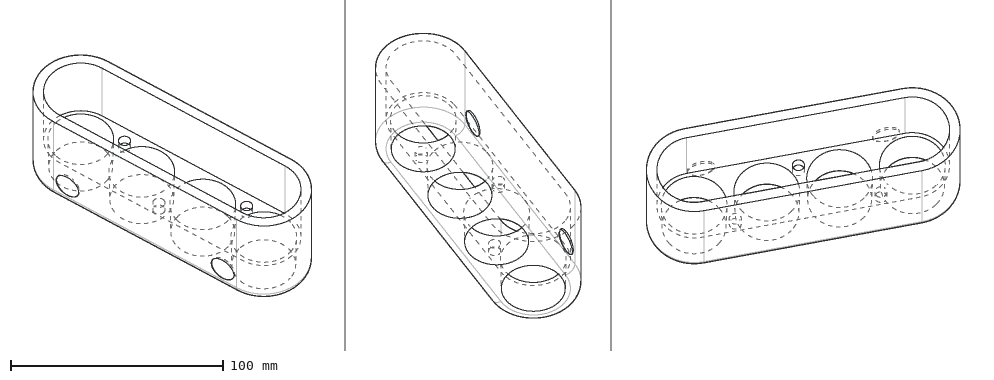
import cadquery as cq

length = 150.0
width = 45.0
height = 55.0
wall = 5.0
floor_thickness = 20.0
bottom_fillet = 5.0

hole_count = 4
hole_pitch = 35.0
hole_bottom_diameter = 30.13
hole_top_diameter = 31.04

pin_diameter = 5.7
pin_depth = 5.0
pin_offset = 11.0

recess_diameter = 13.0
recess_depth = 0.55
recess_tilt = 4.0
recess_spacing = 89.0
recess_height = 13.0


def make_shell():
    """Rounded-end tub with a filleted bottom edge and an even wall."""
    body = cq.Workplane("XY").slot2D(length, width).extrude(height)
    body = body.faces("<Z").edges().fillet(bottom_fillet)
    cavity = (
        cq.Workplane("XY", origin=(0, 0, floor_thickness))
        .slot2D(length - 2 * wall, width - 2 * wall)
        .extrude(height - floor_thickness)
    )
    return body.cut(cavity)


def make_floor_hole(x):
    """Cutter for a through hole that widens evenly from the underside to the floor's upper face."""
    profile = [
        (0, 0),
        (hole_bottom_diameter / 2, 0),
        (hole_top_diameter / 2, floor_thickness),
        (0, floor_thickness),
    ]
    cutter = cq.Workplane("XZ").polyline(profile).close().revolve(360, (0, 0, 0), (0, 1, 0))
    return cutter.translate((x, 0, 0))


def make_pin_holes():
    """Blind holes midway between large holes, alternating sides in Y."""
    middle = (hole_count - 2) / 2
    points = [
        ((index - middle) * hole_pitch, pin_offset * (-1) ** index)
        for index in range(hole_count - 1)
    ]
    return (
        cq.Workplane("XY", origin=(0, 0, floor_thickness))
        .pushPoints(points)
        .circle(pin_diameter / 2)
        .extrude(-pin_depth)
    )


def make_side_recess(x):
    """Round cutter into the -Y face, leaning so that its flat floor faces slightly upwards."""
    cutter = cq.Workplane("XZ").circle(recess_diameter / 2).extrude(recess_diameter)
    cutter = cutter.translate((0, recess_depth, 0))
    cutter = cutter.rotate((0, 0, 0), (1, 0, 0), -recess_tilt)
    return cutter.translate((x, -width / 2, recess_height))


result = make_shell()
for index in range(hole_count):
    result = result.cut(make_floor_hole((index - (hole_count - 1) / 2) * hole_pitch))
result = result.cut(make_pin_holes())
for side in (-1, 1):
    result = result.cut(make_side_recess(side * recess_spacing / 2))